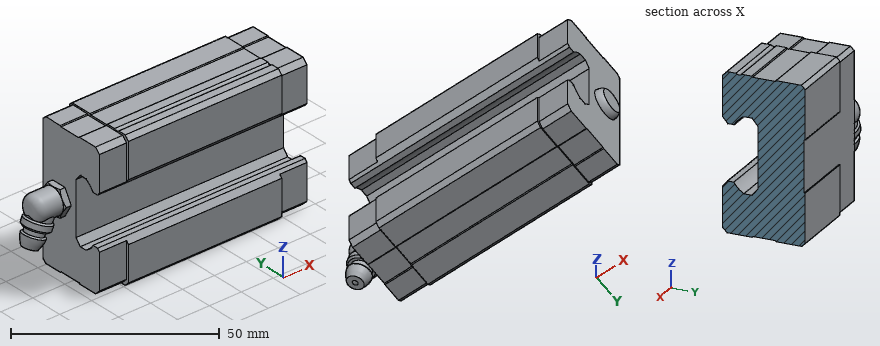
import cadquery as cq
import math

BODY_LENGTH = 48.0
BODY_DEPTH = 22.0
BODY_HEIGHT = 42.0
BODY_BACK_CHAMFER = 1.0
BODY_FRONT_CHAMFER = 1.25
BODY_RELIEF_START = 7.7
BODY_RELIEF_END = 14.15
RELIEF_STEP = 0.25
BACK_RELIEF_WIDTH = 13.7
MARK_GROOVE_RADIUS = 1.1
MARK_GROOVE_WIDTH = 1.5
MARK_GROOVE_OFFSET = 17.6

CAP_LENGTH = 8.5
CAP_HEIGHT = 41.0
CAP_BACK_INSET = 0.25
CAP_FRONT_INSET = 0.7
CAP_BACK_CHAMFER = 1.0
CAP_FRONT_CHAMFER = 1.45
CAP_RELIEF_START = 6.75
CAP_RELIEF_END = 13.8

SLOT_FLOOR = 12.6
SLOT_FLOOR_HALF = 8.1
SLOT_WIDE_HALF = 9.95
SLOT_WIDE_START = 14.15
SLOT_WIDE_END = 16.25
SLOT_LIP_HALF = 7.4
SLOT_FLANK_SAG = 0.25
SLOT_LIP_START = 18.9
SLOT_LIP_END = 20.6
SLOT_MOUTH_HALF = 9.05

FITTING_OFFSET = 6.2
HEX_SIDES = 6
HEX_FLATS = 8.0
HEX_THICKNESS = 1.9
HEX_BEVEL_RISE = 0.35
ELBOW_DIAMETER = 7.85
ELBOW_LENGTH = 9.4
ELBOW_ROUND = 2.4
NIPPLE_ANGLE = 22.5
NIPPLE_ROOT = 4.99
NIPPLE_LENGTH = 11.05
NIPPLE_TIP_DIAMETER = 4.5
NIPPLE_BALL_WIDTH = 1.5
NIPPLE_BALL_RISE = 0.25
NIPPLE_CONE_DIAMETER = 5.65
NIPPLE_BULGE_DIAMETER = 6.36
NIPPLE_HEAD_DIAMETER = 6.6
NIPPLE_NECK_DIAMETER = 5.5
NIPPLE_COLLAR_DIAMETER = 8.0
NIPPLE_SHANK_DIAMETER = 7.1
CONE_TOP = 1.25
HEAD_TOP = 3.25
NECK_BOTTOM = 3.65
COLLAR_BOTTOM = 5.0
COLLAR_BEVEL = 0.5
COLLAR_TOP = 7.6
PLUG_DIAMETER = 8.4
PLUG_FACE_DIAMETER = 6.6
PLUG_HEIGHT = 2.0

BACK_Y = BODY_DEPTH / 2
FITTING_Y = BACK_Y - FITTING_OFFSET
END_X = BODY_LENGTH / 2 + CAP_LENGTH


def prism(half_outline, x_start, length):
    """Extrude along X a section given by its upper half as (depth from back, z) points."""
    upper = [(BACK_Y - depth, z) for depth, z in half_outline]
    lower = [(y, -z) for y, z in reversed(upper)]
    return cq.Workplane("YZ", origin=(x_start, 0, 0)).polyline(upper + lower).close().extrude(length)


def block_outline(back, front, half_height, back_chamfer, front_chamfer, relief_start, relief_end):
    """Upper half of a chamfered block section with a shallow relief along its side."""
    relief_z = half_height - RELIEF_STEP
    return [
        (back, half_height - back_chamfer),
        (back + back_chamfer, half_height),
        (relief_start, half_height),
        (relief_start + RELIEF_STEP, relief_z),
        (relief_end - RELIEF_STEP, relief_z),
        (relief_end, half_height),
        (front - front_chamfer, half_height),
        (front, half_height - front_chamfer),
    ]


def steel_body():
    outline = block_outline(
        0, BODY_DEPTH, BODY_HEIGHT / 2, BODY_BACK_CHAMFER, BODY_FRONT_CHAMFER,
        BODY_RELIEF_START, BODY_RELIEF_END,
    )
    body = prism(outline, -BODY_LENGTH / 2, BODY_LENGTH)
    back_relief = cq.Workplane("XY").box(BODY_LENGTH, 2 * RELIEF_STEP, BACK_RELIEF_WIDTH)
    body = body.cut(back_relief.translate((0, BACK_Y, 0)))

    half_width = MARK_GROOVE_WIDTH / 2
    center_rise = math.sqrt(MARK_GROOVE_RADIUS**2 - half_width**2)
    groove = (
        cq.Workplane("YZ", origin=(-BODY_LENGTH / 2, 0, 0))
        .center(BACK_Y - MARK_GROOVE_OFFSET, BODY_HEIGHT / 2 + center_rise)
        .circle(MARK_GROOVE_RADIUS)
        .extrude(BODY_LENGTH)
    )
    return body.cut(groove)


def end_cap(x_start):
    outline = block_outline(
        CAP_BACK_INSET, BODY_DEPTH - CAP_FRONT_INSET, CAP_HEIGHT / 2,
        CAP_BACK_CHAMFER, CAP_FRONT_CHAMFER, CAP_RELIEF_START, CAP_RELIEF_END,
    )
    return prism(outline, x_start, CAP_LENGTH)


def rail_slot():
    """Slot cutter: an upper half with a hollow curved flank, mirrored about Z = 0."""
    flank_run = SLOT_LIP_START - SLOT_WIDE_END
    flank_drop = SLOT_WIDE_HALF - SLOT_LIP_HALF
    flank_chord = math.hypot(flank_run, flank_drop)
    flank_middle = (
        (SLOT_WIDE_END + SLOT_LIP_START) / 2 + SLOT_FLANK_SAG * flank_drop / flank_chord,
        (SLOT_WIDE_HALF + SLOT_LIP_HALF) / 2 + SLOT_FLANK_SAG * flank_run / flank_chord,
    )
    plane = cq.Plane(origin=(-END_X, BACK_Y, 0), xDir=(0, -1, 0), normal=(-1, 0, 0))
    upper_half = (
        cq.Workplane(plane)
        .moveTo(SLOT_FLOOR, 0)
        .lineTo(SLOT_FLOOR, SLOT_FLOOR_HALF)
        .lineTo(SLOT_WIDE_START, SLOT_WIDE_HALF)
        .lineTo(SLOT_WIDE_END, SLOT_WIDE_HALF)
        .threePointArc(flank_middle, (SLOT_LIP_START, SLOT_LIP_HALF))
        .lineTo(SLOT_LIP_END, SLOT_LIP_HALF)
        .lineTo(BODY_DEPTH, SLOT_MOUTH_HALF)
        .lineTo(BODY_DEPTH, 0)
        .close()
        .extrude(-2 * END_X)
    )
    return upper_half.union(upper_half.mirror("XY"))


def hex_base():
    """Hexagon with flats facing up and down, its outer corners bevelled to the flats."""
    corner_diameter = HEX_FLATS / math.cos(math.pi / HEX_SIDES)
    plane = cq.Plane(origin=(-END_X, FITTING_Y, 0), xDir=(0, 1, 0), normal=(-1, 0, 0))
    hexagon = cq.Workplane(plane).polygon(HEX_SIDES, corner_diameter).extrude(HEX_THICKNESS)
    bevel_width = (corner_diameter - HEX_FLATS) / 2
    bevel = (
        cq.Workplane(plane)
        .circle(corner_diameter / 2)
        .extrude(HEX_THICKNESS)
        .faces("<X")
        .chamfer(HEX_BEVEL_RISE, bevel_width)
    )
    return hexagon.intersect(bevel)


def elbow():
    return (
        cq.Workplane("YZ", origin=(-END_X, FITTING_Y, 0))
        .circle(ELBOW_DIAMETER / 2)
        .extrude(-ELBOW_LENGTH)
        .faces("<X")
        .edges()
        .fillet(ELBOW_ROUND)
    )


def nipple():
    """Revolved nipple; its own axis runs from the elbow axis out to the tip."""
    tilt = math.radians(NIPPLE_ANGLE)
    plane = cq.Plane(
        origin=(-END_X - NIPPLE_ROOT, FITTING_Y, 0),
        xDir=(math.cos(tilt), 0, -math.sin(tilt)),
        normal=(0, -1, 0),
    )

    def at(diameter, from_tip):
        return (diameter / 2, from_tip - NIPPLE_LENGTH)

    ball_radius = ((NIPPLE_BALL_WIDTH / 2)**2 + NIPPLE_BALL_RISE**2) / (2 * NIPPLE_BALL_RISE)
    head_bulge = at(NIPPLE_BULGE_DIAMETER, (CONE_TOP + HEAD_TOP) / 2)
    bevelled_diameter = NIPPLE_COLLAR_DIAMETER - 2 * COLLAR_BEVEL
    profile = (
        cq.Workplane(plane)
        .moveTo(0, 0)
        .lineTo(*at(0, -NIPPLE_BALL_RISE))
        .radiusArc(at(NIPPLE_BALL_WIDTH, 0), -ball_radius)
        .lineTo(*at(NIPPLE_TIP_DIAMETER, 0))
        .lineTo(*at(NIPPLE_CONE_DIAMETER, CONE_TOP))
        .threePointArc(head_bulge, at(NIPPLE_HEAD_DIAMETER, HEAD_TOP))
        .lineTo(*at(NIPPLE_NECK_DIAMETER, NECK_BOTTOM))
        .lineTo(*at(NIPPLE_NECK_DIAMETER, COLLAR_BOTTOM))
        .lineTo(*at(bevelled_diameter, COLLAR_BOTTOM))
        .lineTo(*at(NIPPLE_COLLAR_DIAMETER, COLLAR_BOTTOM + COLLAR_BEVEL))
        .lineTo(*at(NIPPLE_COLLAR_DIAMETER, COLLAR_TOP - COLLAR_BEVEL))
        .lineTo(*at(NIPPLE_SHANK_DIAMETER, COLLAR_TOP))
        .lineTo(NIPPLE_SHANK_DIAMETER / 2, 0)
        .close()
    )
    return profile.revolve(360, (0, 0, 0), (0, 1, 0))


def plug():
    """Domed plug whose side curves inward, starting tangent to a cylinder at the cap."""
    radius = PLUG_DIAMETER / 2
    face_radius = PLUG_FACE_DIAMETER / 2
    drop = radius - face_radius
    side_radius = (PLUG_HEIGHT**2 + drop**2) / (2 * drop)
    return (
        cq.Workplane("XY", origin=(END_X, FITTING_Y, 0))
        .lineTo(0, radius)
        .radiusArc((PLUG_HEIGHT, face_radius), side_radius)
        .lineTo(PLUG_HEIGHT, 0)
        .close()
        .revolve(360, (0, 0, 0), (1, 0, 0))
    )


carriage = steel_body()
for cap_start in (-END_X, BODY_LENGTH / 2):
    carriage = carriage.union(end_cap(cap_start))
carriage = carriage.cut(rail_slot())
for attachment in (hex_base(), elbow(), nipple(), plug()):
    carriage = carriage.union(attachment)

result = carriage